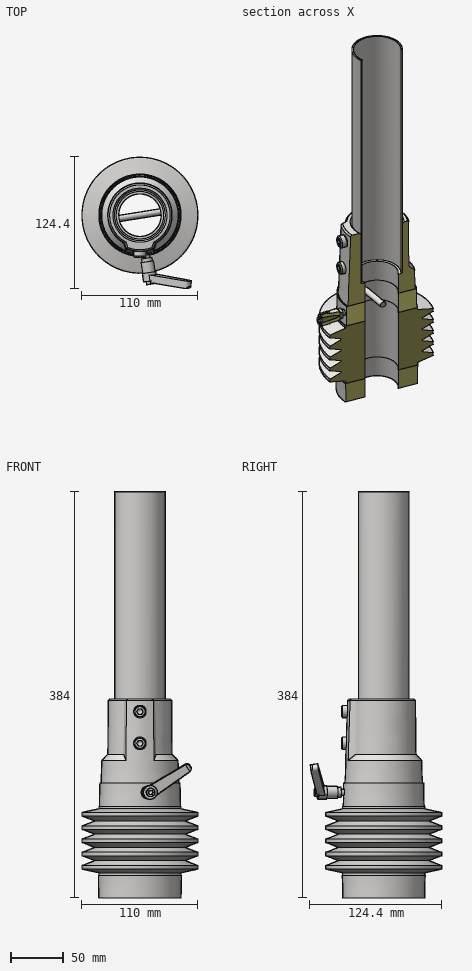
import cadquery as cq
import math

OVERALL_HEIGHT = 384.0
BASE_HEIGHT = 21.5
COLLAR_BOTTOM = 86.8
HOUSING_BOTTOM = 108.5
SHOULDER_BOTTOM = 130.0
SHOULDER_TOP = 136.0
HOUSING_TOP = 188.0

BORE_DIAMETER = 40.0
TUBE_OUTER_DIAMETER = 48.0
TUBE_INNER_DIAMETER = 45.0

BASE_BOTTOM_DIAMETER = 78.0
BASE_TOP_DIAMETER = 78.7
COLLAR_BOTTOM_DIAMETER = 76.8
COLLAR_TOP_DIAMETER = 76.0

RIB_DIAMETER = 110.0
RIB_SHOULDER_DIAMETER = 106.0
RIB_ROOT_DIAMETER = 86.0
RIB_COUNT = 5
RIB_PITCH = 12.48
LOWEST_RIB_HEIGHT = 29.0
RIB_RIM_WIDTH = 3.5
RIB_SHOULDER_WIDTH = 4.5
SLEEVE_END_DIAMETER = 78.0
SLEEVE_END_LAND = 2.3

HOUSING_BOTTOM_DIAMETER = 73.7
SHOULDER_DIAMETER = 72.0
CLAMP_BOTTOM_DIAMETER = 61.0
CLAMP_TOP_DIAMETER = 60.3
CLAMP_MOUTH_DIAMETER = 51.0
CLAMP_TOP_CHAMFER = 1.5

PAD_FACE_RADIUS_TOP = 34.0
PAD_BOTTOM_WIDTH = 31.5
PAD_TOP_WIDTH = 29.0
PAD_FACE_NARROWING = 5.5
PAD_ROOT_DISTANCE = 25.7
PAD_ROOT_FILLET = 1.0

SCREW_HEIGHTS = (146.3, 176.3)
SCREW_HEAD_DIAMETER = 12.0
SCREW_HEAD_SEAT = 33.5
SCREW_HEAD_END = 40.0
SCREW_HEAD_CHAMFER = 1.0
SCREW_SHANK_DIAMETER = 6.0
SCREW_SOCKET_DIAMETER = 6.0
SCREW_SOCKET_DEPTH = 2.5

LEVER_ANGLE = 9.0
LEVER_HEIGHT = 100.0
PIN_DIAMETER = 6.0
PIN_LENGTH = 61.5

STUD_DIAMETER = 6.0
STUD_START = 28.8
STUD_COLLAR_DIAMETER = 10.0
STUD_COLLAR_START = 41.0
HUB_DIAMETER = 12.0
HUB_START = 44.5
BOSS_DIAMETER = 13.0
BOSS_START = 55.0
BOSS_END = 63.0
STUD_HEAD_DIAMETER = 8.0
STUD_HEAD_END = 66.0
STUD_SOCKET_DIAMETER = 4.5
STUD_SOCKET_DEPTH = 2.3
ARM_START = 56.0
ARM_LENGTH = 47.0
ARM_ROOT_WIDTH = 11.5
ARM_RISE_ANGLE = 34.0
ARM_TILT_ANGLE = 16.0
ARM_TIP_WIDTH = 7.5
ARM_THICKNESS = 7.3
ARM_TIP_FILLET = 3.0
ARM_TIP_BEVEL = 2.3


def cylinder(diameter, start, end):
    """Cylinder along Z between two heights."""
    return cq.Workplane("XY").workplane(offset=start).circle(diameter / 2).extrude(end - start)


def revolved(points):
    """Solid of revolution about Z from (radius, height) points."""
    return cq.Workplane("XZ").polyline(points).close().revolve(360, (0, 0, 0), (0, 1, 0))


def bored_cone(bottom_diameter, top_diameter, bottom, top):
    """Tapered ring with the common bore."""
    return revolved([
        (BORE_DIAMETER / 2, bottom),
        (bottom_diameter / 2, bottom),
        (top_diameter / 2, top),
        (BORE_DIAMETER / 2, top),
    ])


def facing_front(solid, height):
    """Turn a solid built along +Z so that it points along -Y at the given height."""
    return solid.rotate((0, 0, 0), (1, 0, 0), 90).translate((0, 0, height))


def on_lever_axis(solid):
    """Place a solid built along +Z on the lever axis."""
    return facing_front(solid, LEVER_HEIGHT).rotate((0, 0, 0), (0, 0, 1), LEVER_ANGLE)


def make_tube():
    outside = cylinder(TUBE_OUTER_DIAMETER, SHOULDER_BOTTOM, OVERALL_HEIGHT)
    return outside.cut(cylinder(TUBE_INNER_DIAMETER, SHOULDER_BOTTOM, OVERALL_HEIGHT))


def make_base():
    return bored_cone(BASE_BOTTOM_DIAMETER, BASE_TOP_DIAMETER, 0, BASE_HEIGHT)


def make_ribbed_sleeve():
    """Sleeve with bevelled ribs separated by V-shaped grooves."""
    end_radius = SLEEVE_END_DIAMETER / 2
    points = [
        (BORE_DIAMETER / 2, BASE_HEIGHT),
        (end_radius, BASE_HEIGHT),
        (end_radius, BASE_HEIGHT + SLEEVE_END_LAND),
    ]
    for i in range(RIB_COUNT):
        middle = LOWEST_RIB_HEIGHT + i * RIB_PITCH
        if i > 0:
            points.append((RIB_ROOT_DIAMETER / 2, middle - RIB_PITCH / 2))
        points += [
            (RIB_SHOULDER_DIAMETER / 2, middle - RIB_SHOULDER_WIDTH / 2),
            (RIB_DIAMETER / 2, middle - RIB_RIM_WIDTH / 2),
            (RIB_DIAMETER / 2, middle + RIB_RIM_WIDTH / 2),
            (RIB_SHOULDER_DIAMETER / 2, middle + RIB_SHOULDER_WIDTH / 2),
        ]
    points += [
        (end_radius, COLLAR_BOTTOM - SLEEVE_END_LAND),
        (end_radius, COLLAR_BOTTOM),
        (BORE_DIAMETER / 2, COLLAR_BOTTOM),
    ]
    return revolved(points)


def make_cross_pin():
    pin = cq.Workplane("YZ").circle(PIN_DIAMETER / 2).extrude(PIN_LENGTH)
    return pin.translate((-PIN_LENGTH / 2, 0, LEVER_HEIGHT)).rotate((0, 0, 0), (0, 0, 1), LEVER_ANGLE)


def make_collar(pin, stud):
    ring = bored_cone(COLLAR_BOTTOM_DIAMETER, COLLAR_TOP_DIAMETER, COLLAR_BOTTOM, HOUSING_BOTTOM)
    return ring.cut(pin).cut(stud)


def pad_outline(narrowing):
    """Trapezoid across the pad, drawn in by an equal amount along its height."""
    bottom = (PAD_BOTTOM_WIDTH - narrowing) / 2
    top = (PAD_TOP_WIDTH - narrowing) / 2
    return [
        (-bottom, SHOULDER_BOTTOM),
        (bottom, SHOULDER_BOTTOM),
        (top, HOUSING_TOP),
        (-top, HOUSING_TOP),
    ]


def make_clamp_pad():
    """Raised pad whose curved face continues the taper of the lower housing."""
    face = revolved([
        (0, SHOULDER_BOTTOM),
        (SHOULDER_DIAMETER / 2, SHOULDER_BOTTOM),
        (PAD_FACE_RADIUS_TOP, HOUSING_TOP),
        (0, HOUSING_TOP),
    ])
    narrowing_per_unit = PAD_FACE_NARROWING / (PAD_FACE_RADIUS_TOP - PAD_ROOT_DISTANCE)
    outer_narrowing = narrowing_per_unit * (SHOULDER_DIAMETER / 2 - PAD_ROOT_DISTANCE)
    wedge = (
        cq.Workplane("XZ")
        .workplane(offset=PAD_ROOT_DISTANCE)
        .polyline(pad_outline(0))
        .close()
        .workplane(offset=SHOULDER_DIAMETER / 2 - PAD_ROOT_DISTANCE)
        .polyline(pad_outline(outer_narrowing))
        .close()
        .loft(ruled=True)
    )
    return face.intersect(wedge)


def pad_root_edges():
    """Selector for the two upright edges where the pad walls meet the clamp."""
    half_width = PAD_BOTTOM_WIDTH / 2
    height = HOUSING_TOP - SHOULDER_TOP
    return cq.selectors.BoxSelector(
        (-half_width, -CLAMP_BOTTOM_DIAMETER / 2, SHOULDER_TOP + height / 3),
        (half_width, 0, HOUSING_TOP - height / 3),
    )


def make_clamp_housing(screws):
    outside = revolved([
        (0, HOUSING_BOTTOM),
        (HOUSING_BOTTOM_DIAMETER / 2, HOUSING_BOTTOM),
        (SHOULDER_DIAMETER / 2, SHOULDER_BOTTOM),
        (CLAMP_BOTTOM_DIAMETER / 2, SHOULDER_TOP),
        (CLAMP_TOP_DIAMETER / 2, HOUSING_TOP),
        (0, HOUSING_TOP),
    ])
    housing = outside.union(make_clamp_pad())
    housing = housing.edges(pad_root_edges()).fillet(PAD_ROOT_FILLET)
    housing = housing.faces(">Z").edges().chamfer(CLAMP_TOP_CHAMFER)
    housing = housing.cut(cylinder(BORE_DIAMETER, HOUSING_BOTTOM, SHOULDER_BOTTOM))
    housing = housing.cut(cylinder(TUBE_OUTER_DIAMETER, SHOULDER_BOTTOM, HOUSING_TOP))
    mouth_depth = (CLAMP_MOUTH_DIAMETER - TUBE_OUTER_DIAMETER) / 2
    mouth = revolved([
        (0, HOUSING_TOP - mouth_depth),
        (TUBE_OUTER_DIAMETER / 2, HOUSING_TOP - mouth_depth),
        (CLAMP_MOUTH_DIAMETER / 2, HOUSING_TOP),
        (0, HOUSING_TOP),
    ])
    housing = housing.cut(mouth)
    for screw in screws:
        housing = housing.cut(screw)
    return housing


def hex_socket(across_corners, end, depth):
    """Hexagonal recess with a conical bottom."""
    hexagon = cq.Workplane("XY").workplane(offset=end - depth).polygon(6, across_corners).extrude(depth)
    bottom_radius = across_corners / 2 * math.cos(math.pi / 6)
    cone = revolved([
        (0, end - depth - bottom_radius / 2),
        (bottom_radius, end - depth),
        (0, end - depth),
    ])
    return hexagon.union(cone)


def make_clamp_screw(height):
    """Cap screw whose hollowed tip bears on the curved wall of the tube."""
    head = cylinder(SCREW_HEAD_DIAMETER, SCREW_HEAD_SEAT, SCREW_HEAD_END)
    head = head.faces(">Z").edges().chamfer(SCREW_HEAD_CHAMFER)
    head = head.cut(hex_socket(SCREW_SOCKET_DIAMETER, SCREW_HEAD_END, SCREW_SOCKET_DEPTH))
    shank = cylinder(SCREW_SHANK_DIAMETER, TUBE_INNER_DIAMETER / 2, SCREW_HEAD_SEAT)
    screw = facing_front(head.union(shank), height)
    return screw.cut(cylinder(TUBE_OUTER_DIAMETER, SHOULDER_BOTTOM, HOUSING_TOP))


def make_lever_stud():
    """Stud that runs from the collar through the lever and ends in a socket head."""
    stud = (
        cylinder(STUD_DIAMETER, STUD_START, BOSS_END)
        .union(cylinder(STUD_COLLAR_DIAMETER, STUD_COLLAR_START, HUB_START))
        .union(cylinder(STUD_HEAD_DIAMETER, BOSS_END, STUD_HEAD_END))
    )
    stud = stud.cut(hex_socket(STUD_SOCKET_DIAMETER, STUD_HEAD_END, STUD_SOCKET_DEPTH))
    return on_lever_axis(stud)


def make_lever_arm():
    """Arm that narrows toward its tip and tilts away from the housing."""
    tip = ARM_TIP_WIDTH / 2
    root = ARM_ROOT_WIDTH / 2
    arm = (
        cq.Workplane("XY")
        .polyline([
            (0, -root),
            (ARM_LENGTH, -tip),
            (ARM_LENGTH, tip),
            (0, root),
        ])
        .close()
        .extrude(ARM_THICKNESS)
    )
    arm = arm.faces(">Z").edges(">X").chamfer(ARM_TIP_BEVEL)
    arm = arm.edges("|Z").edges(">X").fillet(ARM_TIP_FILLET)
    arm = arm.rotate((0, 0, 0), (0, 1, 0), -ARM_TILT_ANGLE).translate((0, 0, ARM_START))
    return arm.rotate((0, 0, 0), (0, 0, 1), ARM_RISE_ANGLE)


def make_lever_handle():
    handle = cylinder(HUB_DIAMETER, HUB_START, BOSS_START)
    handle = handle.union(cylinder(BOSS_DIAMETER, BOSS_START, BOSS_END))
    handle = handle.union(make_lever_arm())
    handle = handle.cut(cylinder(STUD_DIAMETER, HUB_START, BOSS_END))
    handle = handle.cut(cylinder(BOSS_DIAMETER, BOSS_END, BOSS_END + ARM_THICKNESS))
    return on_lever_axis(handle)


tube = make_tube()
base = make_base()
ribbed_sleeve = make_ribbed_sleeve()
cross_pin = make_cross_pin()
lever_stud = make_lever_stud()
lever_handle = make_lever_handle()
collar = make_collar(cross_pin, lever_stud)
clamp_screws = [make_clamp_screw(height) for height in SCREW_HEIGHTS]
clamp_housing = make_clamp_housing(clamp_screws)

result = cq.Compound.makeCompound([
    tube.val(),
    base.val(),
    ribbed_sleeve.val(),
    collar.val(),
    clamp_housing.val(),
    *[screw.val() for screw in clamp_screws],
    cross_pin.val(),
    lever_stud.val(),
    lever_handle.val(),
])